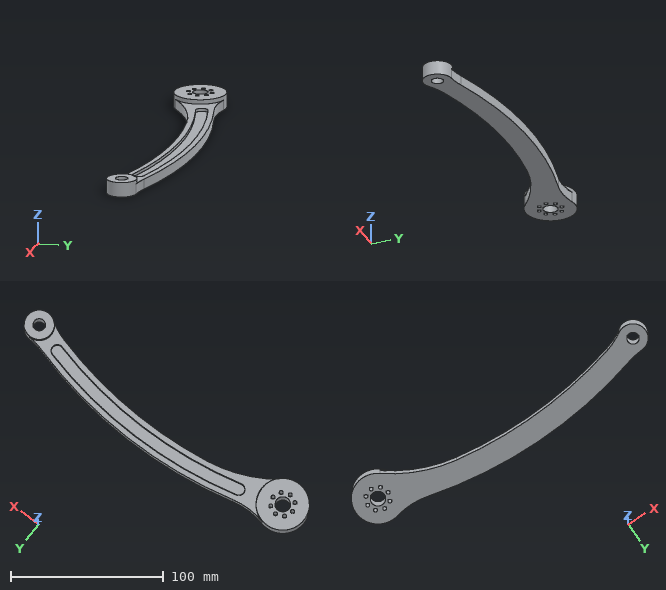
import cadquery as cq
import math

HUB_SPACING = 200.0
HUB_HEIGHT = 10.0
LARGE_HUB_RADIUS = 17.5
SMALL_HUB_RADIUS = 10.0
LARGE_BORE_DIAMETER = 10.0
SMALL_BORE_DIAMETER = 8.0

BOLT_COUNT = 8
BOLT_CIRCLE_RADIUS = 8.0
BOLT_HOLE_DIAMETER = 2.5

ARM_RISE = 17.25
ARM_WIDTH = 16.0
ARM_THICKNESS = 7.0

LARGE_HUB_OUTER_BLEND = 50.0
LARGE_HUB_INNER_BLEND = 100.0
SMALL_HUB_OUTER_BLEND = 50.0
SMALL_HUB_INNER_BLEND = 50.0

POCKET_WIDTH = 8.0
POCKET_DEPTH = 2.0
POCKET_START_X = 29.5
POCKET_END_X = 180.5

ARC_RADIUS = ((HUB_SPACING / 2) ** 2 + ARM_RISE ** 2) / (2 * ARM_RISE)
ARC_CENTER = (HUB_SPACING / 2, ARM_RISE - ARC_RADIUS)
OUTER_RADIUS = ARC_RADIUS + ARM_WIDTH / 2
INNER_RADIUS = ARC_RADIUS - ARM_WIDTH / 2

LARGE_HUB_CENTER = (0.0, 0.0)
SMALL_HUB_CENTER = (HUB_SPACING, 0.0)


def point_towards(start, target, distance):
    """Point at a given distance from start on the ray towards target."""
    length = math.dist(start, target)
    return (
        start[0] + (target[0] - start[0]) * distance / length,
        start[1] + (target[1] - start[1]) * distance / length,
    )


def arc_point(radius, x):
    """Point at abscissa x on the upper part of a circle around the arc centre."""
    return (x, ARC_CENTER[1] + math.sqrt(radius ** 2 - (x - ARC_CENTER[0]) ** 2))


def blend_arc(hub_center, hub_radius, blend_radius, outer):
    """Hub tangent point, middle point and arm tangent point of a concave blend arc."""
    if outer:
        edge_radius = OUTER_RADIUS
        to_arc = OUTER_RADIUS + blend_radius
    else:
        edge_radius = INNER_RADIUS
        to_arc = INNER_RADIUS - blend_radius
    to_hub = hub_radius + blend_radius

    base = math.dist(hub_center, ARC_CENTER)
    cosine = (base ** 2 + to_hub ** 2 - to_arc ** 2) / (2 * base * to_hub)
    base_angle = math.atan2(ARC_CENTER[1] - hub_center[1], ARC_CENTER[0] - hub_center[0])
    turn = math.acos(cosine) if hub_center[0] < ARC_CENTER[0] else -math.acos(cosine)
    angle = base_angle + turn
    blend_center = (
        hub_center[0] + to_hub * math.cos(angle),
        hub_center[1] + to_hub * math.sin(angle),
    )

    hub_point = point_towards(hub_center, blend_center, hub_radius)
    arm_point = point_towards(ARC_CENTER, blend_center, edge_radius)
    chord_middle = ((hub_point[0] + arm_point[0]) / 2, (hub_point[1] + arm_point[1]) / 2)
    middle = point_towards(blend_center, chord_middle, blend_radius)
    return hub_point, middle, arm_point


def make_hub(center, radius):
    return cq.Workplane("XY").center(*center).circle(radius).extrude(HUB_HEIGHT)


def make_arm():
    """Curved bar whose ends run to the hub centres and blend into the hub rims."""
    large_outer = blend_arc(LARGE_HUB_CENTER, LARGE_HUB_RADIUS, LARGE_HUB_OUTER_BLEND, True)
    small_outer = blend_arc(SMALL_HUB_CENTER, SMALL_HUB_RADIUS, SMALL_HUB_OUTER_BLEND, True)
    large_inner = blend_arc(LARGE_HUB_CENTER, LARGE_HUB_RADIUS, LARGE_HUB_INNER_BLEND, False)
    small_inner = blend_arc(SMALL_HUB_CENTER, SMALL_HUB_RADIUS, SMALL_HUB_INNER_BLEND, False)
    return (
        cq.Workplane("XY")
        .moveTo(*LARGE_HUB_CENTER)
        .lineTo(*large_outer[0])
        .threePointArc(large_outer[1], large_outer[2])
        .threePointArc(arc_point(OUTER_RADIUS, ARC_CENTER[0]), small_outer[2])
        .threePointArc(small_outer[1], small_outer[0])
        .lineTo(*SMALL_HUB_CENTER)
        .lineTo(*small_inner[0])
        .threePointArc(small_inner[1], small_inner[2])
        .threePointArc(arc_point(INNER_RADIUS, ARC_CENTER[0]), large_inner[2])
        .threePointArc(large_inner[1], large_inner[0])
        .close()
        .extrude(ARM_THICKNESS)
    )


def make_pocket():
    """Round-ended curved slot cut down from the top face of the arm."""
    half_width = POCKET_WIDTH / 2
    outer = ARC_RADIUS + half_width
    inner = ARC_RADIUS - half_width
    start = arc_point(ARC_RADIUS, POCKET_START_X)
    end = arc_point(ARC_RADIUS, POCKET_END_X)
    start_radial = math.atan2(start[1] - ARC_CENTER[1], start[0] - ARC_CENTER[0])
    end_radial = math.atan2(end[1] - ARC_CENTER[1], end[0] - ARC_CENTER[0])
    start_tip = (
        start[0] - half_width * math.sin(start_radial),
        start[1] + half_width * math.cos(start_radial),
    )
    end_tip = (
        end[0] + half_width * math.sin(end_radial),
        end[1] - half_width * math.cos(end_radial),
    )
    return (
        cq.Workplane("XY")
        .workplane(offset=ARM_THICKNESS - POCKET_DEPTH)
        .moveTo(*point_towards(ARC_CENTER, start, outer))
        .threePointArc(arc_point(outer, ARC_CENTER[0]), point_towards(ARC_CENTER, end, outer))
        .threePointArc(end_tip, point_towards(ARC_CENTER, end, inner))
        .threePointArc(arc_point(inner, ARC_CENTER[0]), point_towards(ARC_CENTER, start, inner))
        .threePointArc(start_tip, point_towards(ARC_CENTER, start, outer))
        .close()
        .extrude(POCKET_DEPTH)
    )


def make_holes():
    """Through bores of both hubs and the hole ring of the large hub."""
    large_bore = cq.Workplane("XY").circle(LARGE_BORE_DIAMETER / 2).extrude(HUB_HEIGHT)
    small_bore = (
        cq.Workplane("XY")
        .center(*SMALL_HUB_CENTER)
        .circle(SMALL_BORE_DIAMETER / 2)
        .extrude(HUB_HEIGHT)
    )
    bolt_holes = (
        cq.Workplane("XY")
        .polarArray(BOLT_CIRCLE_RADIUS, 0, 360, BOLT_COUNT)
        .circle(BOLT_HOLE_DIAMETER / 2)
        .extrude(HUB_HEIGHT)
    )
    return large_bore.union(small_bore).union(bolt_holes)


body = (
    make_arm()
    .union(make_hub(LARGE_HUB_CENTER, LARGE_HUB_RADIUS))
    .union(make_hub(SMALL_HUB_CENTER, SMALL_HUB_RADIUS))
)
result = body.cut(make_pocket()).cut(make_holes())